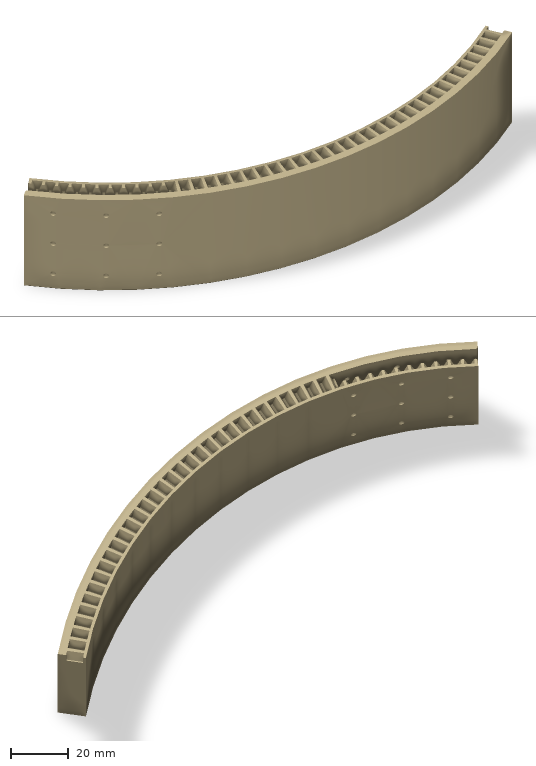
import cadquery as cq
import math

height = 40.0
outer_radius = 151.0
outer_skin = 3.0
core = 6.0
inner_skin = 1.0
core_outer_radius = outer_radius - outer_skin
core_inner_radius = core_outer_radius - core
inner_radius = core_inner_radius - inner_skin

upper_end_angle = 8.65
split_end_angle = -70.7

slot_start_angle = -51.0
inner_lip = 3.0
slot_inner_radius = inner_radius + inner_lip
lip_fillet = 1.0

cell_pitch = 1.86
cell_count = math.ceil((upper_end_angle - split_end_angle) / cell_pitch) + 1
cell_width = 3.6
cell_depth = 3.6
cell_floor_width = 0.8

hole_diameter = 2.0
hole_angles = [-52.8, -59.8, -66.8]
hole_rows = [-1, 0, 1]
hole_row_spacing = 13.2

bottom_chamfer = 0.5

overrun_angle = 2.0
cutter_reach = outer_radius + 1.7


def polar_point(radius, angle, z):
    """X, Y and Z of a point given by its distance and angle from the Z axis."""
    turn = math.radians(angle)
    return (radius * math.cos(turn), radius * math.sin(turn), z)


def ring_sector(radius_in, radius_out, start_angle, end_angle):
    """Full-height piece of a ring between two angles."""
    return (
        cq.Workplane("XZ")
        .moveTo(radius_in, 0)
        .lineTo(radius_out, 0)
        .lineTo(radius_out, height)
        .lineTo(radius_in, height)
        .close()
        .revolve(end_angle - start_angle, (0, 0, 0), (0, -1, 0))
        .rotate((0, 0, 0), (0, 0, 1), end_angle)
    )


def make_wall():
    """Solid arc wall, chamfered along its bottom except at the split end."""
    wall = ring_sector(inner_radius, outer_radius, split_end_angle, upper_end_angle)
    middle_radius = (inner_radius + outer_radius) / 2
    split_end_bottom = cq.selectors.NearestToPointSelector(polar_point(middle_radius, split_end_angle, 0))
    bottom_edges = wall.faces("<Z").edges(cq.selectors.InverseSelector(split_end_bottom))
    return bottom_edges.chamfer(bottom_chamfer)


def cut_slot(wall):
    """Open the slot and round the lip corners at its mouth."""
    mouth_angle = split_end_angle - overrun_angle
    slot = ring_sector(slot_inner_radius, core_outer_radius, mouth_angle, slot_start_angle)
    split_wall = wall.cut(slot)
    for radius in (slot_inner_radius, core_outer_radius):
        corner = polar_point(radius, split_end_angle, height / 2)
        split_wall = split_wall.edges(cq.selectors.NearestToPointSelector(corner)).fillet(lip_fillet)
    return split_wall


def make_cells():
    """Tapered radial grooves across the core, the first centred on the upper end face."""
    floor_height = height - cell_depth
    groove = (
        cq.Workplane("YZ")
        .moveTo(-cell_width / 2, height)
        .lineTo(-cell_floor_width / 2, floor_height)
        .lineTo(cell_floor_width / 2, floor_height)
        .lineTo(cell_width / 2, height)
        .close()
        .extrude(cutter_reach)
    )
    grooves = cq.Workplane("XY")
    for index in range(cell_count):
        angle = upper_end_angle - index * cell_pitch
        grooves.add(groove.rotate((0, 0, 0), (0, 0, 1), angle))
    core_ring = ring_sector(
        core_inner_radius, core_outer_radius, split_end_angle - overrun_angle, upper_end_angle + overrun_angle
    )
    return [core_ring.intersect(cq.Workplane(solid)).val() for solid in grooves.vals()]


def make_holes():
    """Radial pins removed from both lips."""
    holes = []
    for angle in hole_angles:
        for row in hole_rows:
            z = height / 2 + row * hole_row_spacing
            start = cq.Vector(0, 0, z)
            direction = cq.Vector(*polar_point(1, angle, 0))
            holes.append(cq.Solid.makeCylinder(hole_diameter / 2, cutter_reach, start, direction))
    return holes


result = cut_slot(make_wall())
for cutter in make_cells() + make_holes():
    result = result.cut(cq.Workplane(cutter))